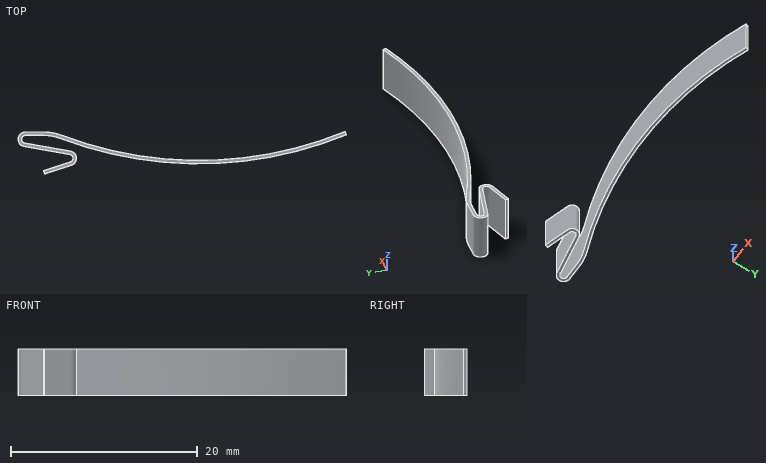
import cadquery as cq
import math

strip_width = 5.0
strip_thickness = 0.4
bend_radius = 0.6

lip_length = 3.02
lip_angle = 18.0
arm_length = 4.95
arm_slope = 10.0
flat_length = 1.97

leaf_radius = 41.48
leaf_start_angle = 20.8
leaf_bend_radius = 5.2
leaf_end_angle = 22.3

tip_position = (2.78, -4.35)


def straight(length):
    return {"length": length, "turn": 0.0}


def bend(turn, radius=bend_radius):
    """Arc along the strip; a positive turn in degrees is counterclockwise."""
    return {"length": radius * math.radians(abs(turn)), "turn": turn}


strip_path = [
    straight(lip_length),
    bend(180 - arm_slope - lip_angle),
    straight(arm_length),
    bend(arm_slope - 180),
    straight(flat_length),
    bend(-leaf_start_angle, leaf_bend_radius),
    bend(leaf_start_angle + leaf_end_angle, leaf_radius),
]


def advance(pose, length, turn):
    """Move an (x, y, heading) pose along a line or an arc."""
    x, y, heading = pose
    half_turn = math.radians(turn) / 2
    chord = length * math.sin(half_turn) / half_turn if turn else length
    direction = math.radians(heading) + half_turn
    return x + chord * math.cos(direction), y + chord * math.sin(direction), heading + turn


def beside(pose, offset):
    """Point at the given distance to the left of a pose."""
    x, y, heading = pose
    angle = math.radians(heading)
    return cq.Vector(x - offset * math.sin(angle), y + offset * math.cos(angle))


def strip_face_edges(path, start, offset):
    """Edges of one face of the strip, parallel to its middle line."""
    edges = []
    pose = start
    for piece in path:
        middle = advance(pose, piece["length"] / 2, piece["turn"] / 2)
        end = advance(pose, piece["length"], piece["turn"])
        points = [beside(p, offset) for p in (pose, middle, end)]
        if piece["turn"]:
            edges.append(cq.Edge.makeThreePointArc(*points))
        else:
            edges.append(cq.Edge.makeLine(points[0], points[-1]))
        pose = end
    return edges


start_pose = (*tip_position, lip_angle)
left_edges = strip_face_edges(strip_path, start_pose, strip_thickness / 2)
right_edges = strip_face_edges(strip_path, start_pose, -strip_thickness / 2)
end_edges = [
    cq.Edge.makeLine(left_edges[0].startPoint(), right_edges[0].startPoint()),
    cq.Edge.makeLine(left_edges[-1].endPoint(), right_edges[-1].endPoint()),
]

outline = cq.Wire.assembleEdges(left_edges + end_edges[1:] + right_edges[::-1] + end_edges[:1])
result = cq.Workplane("XY").add(outline).toPending().extrude(strip_width)